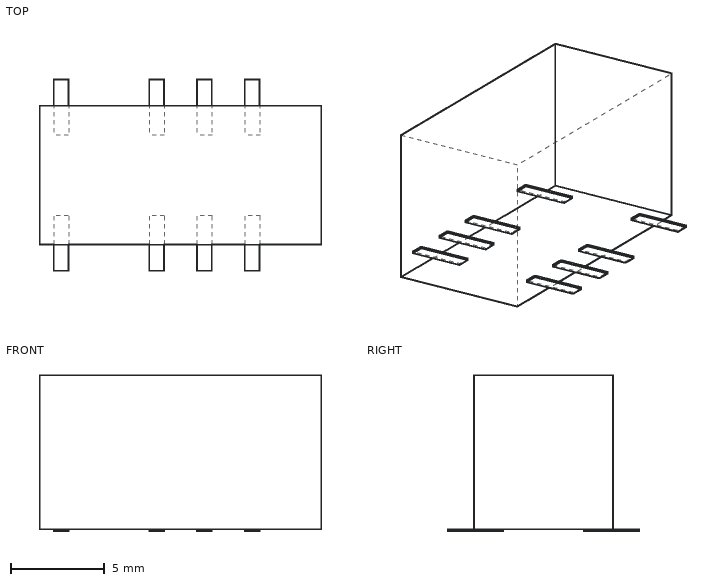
import cadquery as cq

housing_length = 15.0
housing_width = 7.4
overall_height = 8.3

lead_span = 10.2
lead_length = 2.96
lead_width = 0.8
lead_thickness = 0.1

lead_pitch = 2.54
lead_steps = [-2.5, -0.5, 0.5, 1.5]

housing_height = overall_height - lead_thickness
lead_center_y = (lead_span - lead_length) / 2


def make_housing():
    """Plain block standing on top of the leads."""
    return (
        cq.Workplane("XY", origin=(0, 0, lead_thickness))
        .box(housing_length, housing_width, housing_height, centered=(True, True, False))
    )


def make_lead(x, y):
    """Flat strip centred at (x, y), with its underside at Z = 0."""
    return (
        cq.Workplane("XY", origin=(x, y, 0))
        .box(lead_width, lead_length, lead_thickness, centered=(True, True, False))
    )


housing = make_housing()

leads = []
for side in (-1, 1):
    for step in lead_steps:
        leads.append(make_lead(step * lead_pitch, side * lead_center_y))

result = cq.Compound.makeCompound([housing.val(), *[lead.val() for lead in leads]])